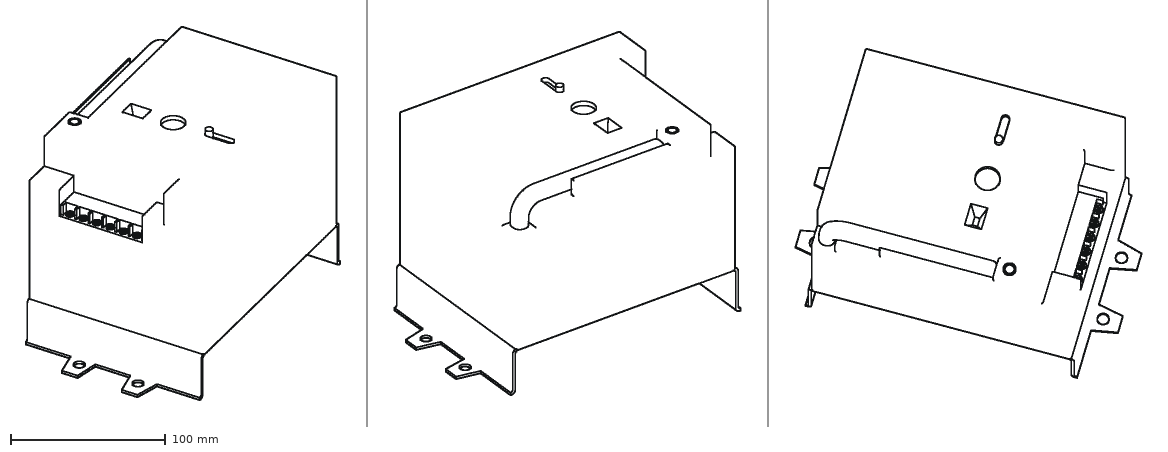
import cadquery as cq
import math

length = 217.0
width = 130.0
body_length = 175.0
body_bottom = 32.1
body_top = 149.0
edge_radius = 1.0
left = -width / 2
front = -body_length / 2
rear = body_length / 2

wall_thickness = 2.2
foot_thickness = 2.0
foot_bend_radius = 1.7
heel_radius = 3.0
shoulder_drop = 1.5
shoulder_inner_radius = 0.9
tab_inner_base = 13.0
tab_inner_tip = 16.5
tab_outer_tip = 28.2
left_tab_outer_base = 31.5
right_tab_outer_base = 33.0
tab_hole_x = 22.0
tab_hole_y = 96.8
tab_hole_diameter = 7.5

notch_right = 35.2
notch_depth = 19.0
notch_floor = 126.0
recess_center = -11.3
recess_width = 61.8
recess_floor = 105.7
block_top = 113.3
block_setback = 2.2
cell_count = 6
cell_pitch = 10.0
cell_width = 8.7
cell_depth = 4.0
screw_radius = 2.5
screw_head_bottom = 0.9
screw_head_top = 2.2
screw_shank_radius = 1.0
screw_slot_width = 0.9
screw_slot_depth = 0.7

handle_center_x = -57.0
handle_width = 12.2
handle_height = 10.8
handle_corner_radius = 5.0
handle_bend_radius = 14.3
handle_bend_y = 64.5
handle_bend_z = 126.3
handle_end = -33.9
handle_end_radius = 2.8
channel_right = -51.2
channel_end = -34.5
channel_wall = 1.5
channel_inner_radius = 7.5
channel_rear_floor = 120.9
wall_top = 145.8
wall_opening_end = 41.9

control_y = -12.8
pocket_center_x = -27.1
pocket_length = 15.2
pocket_width = 11.3
pocket_floor_length = 5.9
pocket_floor_width = 3.5
pocket_depth = 10.0
dial_diameter = 16.3
control_depth = 3.3
slot_left = 24.0
slot_right = 45.4
slot_width = 5.5
pin_diameter = 5.2
pin_top = 153.0
button_x = -56.0
button_y = -43.5
button_outer_radius = 4.1
button_inner_radius = 3.0
button_groove_depth = 0.9


def box(x0, x1, y0, y1, z0, z1):
    return cq.Workplane("XY").box(x1 - x0, y1 - y0, z1 - z0, centered=False).translate((x0, y0, z0))


def arc_middle(center, radius):
    """Halfway point of the quarter arc lying in the +Y, +Z quadrant of a centre."""
    offset = radius * math.sqrt(0.5)
    return center[0] + offset, center[1] + offset


def channel_cutter(x0, end_y, floor_points):
    """Cutter along the channel whose floor drops round the handle bend to the rear face."""
    floor_z = handle_bend_z + channel_inner_radius
    profile = (
        cq.Workplane("YZ", origin=(x0, 0, 0))
        .moveTo(rear, body_top)
        .lineTo(rear, channel_rear_floor)
        .lineTo(handle_bend_y + channel_inner_radius, channel_rear_floor)
        .lineTo(handle_bend_y + channel_inner_radius, handle_bend_z)
        .threePointArc(
            arc_middle((handle_bend_y, handle_bend_z), channel_inner_radius),
            (handle_bend_y, floor_z),
        )
    )
    for point in floor_points:
        profile = profile.lineTo(*point)
    return profile.lineTo(end_y, body_top).close().extrude(channel_right - x0)


def make_housing():
    floor_z = handle_bend_z + channel_inner_radius
    housing = box(left, -left, front, rear, body_bottom, body_top)
    housing = housing.cut(box(left, notch_right, front, front + notch_depth, notch_floor, body_top))
    wall_steps = [(wall_opening_end, floor_z), (wall_opening_end, wall_top), (channel_end, wall_top)]
    housing = housing.cut(channel_cutter(left, channel_end, wall_steps))
    housing = housing.faces(">Z or <X or >X or <Y or >Y").edges().edges("not(<Z)").fillet(edge_radius)
    return housing.cut(channel_cutter(left + channel_wall, channel_end, [(channel_end, floor_z)]))


def make_handle():
    section = cq.Sketch().rect(handle_width, handle_height).vertices().fillet(handle_corner_radius)
    foot = cq.Workplane(
        "XY", origin=(handle_center_x, handle_bend_y + handle_bend_radius, channel_rear_floor)
    )
    top_z = handle_bend_z + handle_bend_radius
    path = (
        cq.Workplane("YZ", origin=(handle_center_x, 0, 0))
        .moveTo(handle_bend_y + handle_bend_radius, channel_rear_floor)
        .lineTo(handle_bend_y + handle_bend_radius, handle_bend_z)
        .threePointArc(
            arc_middle((handle_bend_y, handle_bend_z), handle_bend_radius),
            (handle_bend_y, top_z),
        )
        .lineTo(handle_end, top_z)
    )
    return foot.placeSketch(section).sweep(path).faces("<Y").edges().fillet(handle_end_radius)


def make_bracket():
    """Bracket of the rear side: shoulder, wall, foot and two drilled tabs."""
    outer = rear + wall_thickness
    shoulder_center = (rear - shoulder_inner_radius, body_bottom - shoulder_drop)
    shoulder_y, shoulder_z = shoulder_center
    shoulder_outer_radius = shoulder_inner_radius + wall_thickness
    foot_end = outer + foot_bend_radius
    bend_top = foot_thickness + foot_bend_radius
    half = math.sqrt(0.5)
    profile = (
        cq.Workplane("YZ", origin=(left, 0, 0))
        .moveTo(shoulder_y, shoulder_z + shoulder_inner_radius)
        .lineTo(shoulder_y, shoulder_z + shoulder_outer_radius)
        .threePointArc(arc_middle(shoulder_center, shoulder_outer_radius), (outer, shoulder_z))
        .lineTo(outer, bend_top)
        .threePointArc(
            (foot_end - half * foot_bend_radius, bend_top - half * foot_bend_radius),
            (foot_end, foot_thickness),
        )
        .lineTo(foot_end, 0)
        .lineTo(rear + heel_radius, 0)
        .threePointArc(
            (rear + heel_radius * (1 - half), heel_radius * (1 - half)),
            (rear, heel_radius),
        )
        .lineTo(rear, shoulder_z)
        .threePointArc(
            arc_middle(shoulder_center, shoulder_inner_radius),
            (shoulder_y, shoulder_z + shoulder_inner_radius),
        )
        .close()
    )
    bracket = profile.extrude(width)
    for side, outer_base in ((-1, left_tab_outer_base), (1, right_tab_outer_base)):
        tab = (
            cq.Workplane("XY")
            .polyline([
                (side * tab_inner_base, foot_end),
                (side * tab_inner_tip, length / 2),
                (side * tab_outer_tip, length / 2),
                (side * outer_base, foot_end),
            ])
            .close()
            .extrude(foot_thickness)
        )
        hole = cq.Workplane("XY").center(side * tab_hole_x, tab_hole_y).circle(tab_hole_diameter / 2)
        bracket = bracket.union(tab).cut(hole.extrude(foot_thickness))
    return bracket


def make_screw(x, y):
    head_height = screw_head_top - screw_head_bottom
    base = cq.Workplane("XY", origin=(x, y, recess_floor))
    head = base.workplane(offset=screw_head_bottom).circle(screw_radius).extrude(head_height)
    slot = base.workplane(offset=screw_head_top - screw_slot_depth)
    for angle in (45, 135):
        groove = slot.transformed(rotate=(0, 0, angle)).rect(2 * screw_radius, screw_slot_width)
        head = head.cut(groove.extrude(screw_slot_depth))
    return head.union(base.circle(screw_shank_radius).extrude(screw_head_bottom))


def add_terminals(body):
    recess_left = recess_center - recess_width / 2
    recess_right = recess_center + recess_width / 2
    block_front = front + block_setback
    cell_back = block_front + cell_depth
    body = body.cut(box(recess_left, recess_right, front, front + notch_depth, recess_floor, notch_floor))
    body = body.union(
        box(recess_left, recess_right, block_front, front + notch_depth, recess_floor, block_top)
    )
    for index in range(cell_count):
        x = recess_center + (index - (cell_count - 1) / 2) * cell_pitch
        cell = box(
            x - cell_width / 2, x + cell_width / 2, block_front, cell_back, recess_floor, block_top
        )
        body = body.cut(cell).union(make_screw(x, cell_back - screw_radius))
    return body


def add_controls(body):
    top = cq.Workplane("XY", origin=(0, 0, body_top))
    control_floor = top.workplane(offset=-control_depth)
    pocket = (
        top.center(pocket_center_x, control_y)
        .rect(pocket_length, pocket_width)
        .workplane(offset=-pocket_depth)
        .rect(pocket_floor_length, pocket_floor_width)
        .loft(ruled=True)
    )
    dial = control_floor.center(0, control_y).circle(dial_diameter / 2).extrude(control_depth)
    slot = (
        control_floor.center((slot_left + slot_right) / 2, control_y)
        .slot2D(slot_right - slot_left, slot_width)
        .extrude(control_depth)
    )
    groove = (
        top.center(button_x, button_y)
        .circle(button_outer_radius)
        .circle(button_inner_radius)
        .extrude(-button_groove_depth)
    )
    pin = (
        control_floor.center(slot_left + slot_width / 2, control_y)
        .circle(pin_diameter / 2)
        .extrude(pin_top - body_top + control_depth)
    )
    return body.cut(pocket).cut(dial).cut(slot).cut(groove).union(pin)


rear_bracket = make_bracket()
result = make_housing()
result = result.union(make_handle())
result = add_terminals(result)
result = add_controls(result)
result = result.union(rear_bracket).union(rear_bracket.mirror("XZ"))